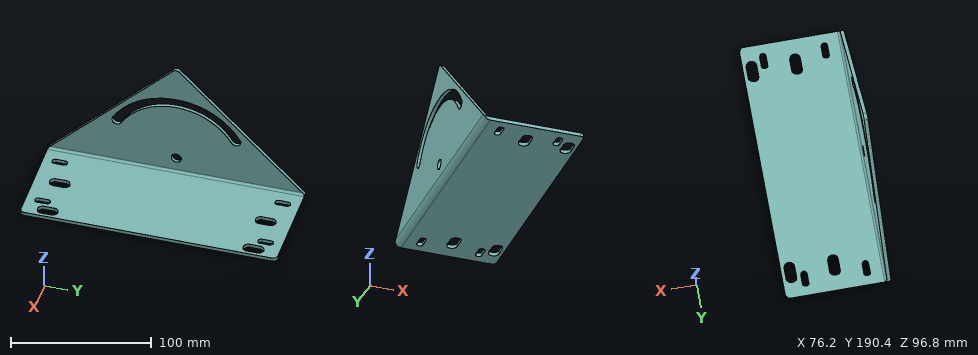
import cadquery as cq
import math

base_width = 76.2
length = 190.38
height = 96.75
thickness = 3.0
inner_bend_radius = 1.8
outer_bend_radius = inner_bend_radius + thickness

apex_radius = 3.5
apex_sharp_height = height + apex_radius * (math.sqrt(2) - 1)
flank_start_height = apex_sharp_height - length / 2

base_corner_radius = 3.5

pivot_diameter = 7.14
pivot_height = 15.24
arc_slot_width = pivot_diameter
arc_slot_radius = 50.8
arc_slot_end_angle = math.radians(30)

base_mid_x = base_width / 2
small_slot_width = 4.5
small_slot_length = 11.1
small_slot_spacing_x = 44.45
small_slot_spacing_y = 165.1
small_slot_xs = (base_mid_x - small_slot_spacing_x / 2, base_mid_x + small_slot_spacing_x / 2)
large_slot_width = 7.5
large_slot_length = 15.0
large_slot_spacing_x = 31.5
large_slot_spacing_y = 152.4
large_slot_xs = (base_mid_x, base_mid_x + large_slot_spacing_x)


def bent_sheet():
    """L profile with a rounded bend, extruded in Y, with the free base corners rounded."""
    profile = (
        cq.Workplane("XZ")
        .moveTo(outer_bend_radius, 0)
        .lineTo(base_width, 0)
        .lineTo(base_width, thickness)
        .lineTo(outer_bend_radius, thickness)
        .radiusArc((thickness, outer_bend_radius), inner_bend_radius)
        .lineTo(thickness, height)
        .lineTo(0, height)
        .lineTo(0, outer_bend_radius)
        .radiusArc((outer_bend_radius, 0), -outer_bend_radius)
        .close()
    )
    sheet = profile.extrude(length / 2, both=True)
    return sheet.edges("|Z and >X").fillet(base_corner_radius)


def triangle_envelope():
    """Prism across X that trims the upright flange to a triangle with a rounded apex."""
    half_length = length / 2
    prism = (
        cq.Workplane("YZ")
        .moveTo(-half_length, 0)
        .lineTo(half_length, 0)
        .lineTo(half_length, flank_start_height)
        .lineTo(0, apex_sharp_height)
        .lineTo(-half_length, flank_start_height)
        .close()
        .extrude(base_width)
    )
    return prism.edges("|X and >Z").fillet(apex_radius)


def pivot_hole():
    return (
        cq.Workplane("YZ")
        .center(0, pivot_height)
        .circle(pivot_diameter / 2)
        .extrude(thickness)
    )


def arc_slot():
    """Curved slot with round ends, swinging over the pivot hole."""

    def polar(radius, angle):
        return (radius * math.cos(angle), radius * math.sin(angle))

    end_radius = arc_slot_width / 2
    outer = arc_slot_radius + end_radius
    inner = arc_slot_radius - end_radius
    start = arc_slot_end_angle
    end = math.pi - arc_slot_end_angle
    return (
        cq.Workplane("YZ")
        .center(0, pivot_height)
        .moveTo(*polar(outer, start))
        .threePointArc((0, outer), polar(outer, end))
        .radiusArc(polar(inner, end), -end_radius)
        .threePointArc((0, inner), polar(inner, start))
        .radiusArc(polar(outer, start), -end_radius)
        .close()
        .extrude(thickness)
    )


def base_slots(slot_xs, spacing_y, slot_length, slot_width):
    """One mirrored pair of Y-direction slots at each X position."""
    centers = [(x, side * spacing_y / 2) for x in slot_xs for side in (-1, 1)]
    return (
        cq.Workplane("XY")
        .pushPoints(centers)
        .slot2D(slot_length, slot_width, 90)
        .extrude(thickness)
    )


result = (
    bent_sheet()
    .intersect(triangle_envelope())
    .cut(pivot_hole())
    .cut(arc_slot())
    .cut(base_slots(small_slot_xs, small_slot_spacing_y, small_slot_length, small_slot_width))
    .cut(base_slots(large_slot_xs, large_slot_spacing_y, large_slot_length, large_slot_width))
)